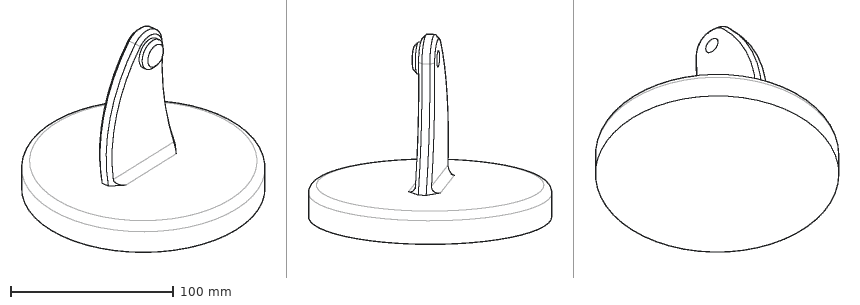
import cadquery as cq
import math

base_diameter = 150
base_height = 20.0
base_rim_radius = 5.0

overall_height = 115.0
fin_thickness = 10.0
fin_chamfer = 2.5
root_fillet = 5.0
tip_radius = 15
tip_end_angle = math.radians(45)
concave_mid = (15.5, base_height + 51.2)
concave_foot_y = 27.8
convex_mid = (-30, base_height + 61.5)
convex_foot_y = -36.3

boss_diameter = 20.0
boss_length = 5.0
boss_chamfer = boss_length / 2
hole_diameter = 9.9
hole_depth = fin_thickness

tip_center_z = overall_height - tip_radius
half_thickness = fin_thickness / 2
root_half_width = half_thickness + root_fillet


def make_base():
    disc = cq.Workplane("XY").circle(base_diameter / 2).extrude(base_height)
    return disc.faces(">Z").edges().fillet(base_rim_radius)


def make_fin_outline():
    """Side outline in YZ, as thick as the root, with bevels that reach across the root."""
    tip_end = (
        -tip_radius * math.sin(tip_end_angle),
        tip_center_z + tip_radius * math.cos(tip_end_angle),
    )
    blank = (
        cq.Workplane("YZ")
        .moveTo(concave_foot_y, base_height)
        .threePointArc(concave_mid, (tip_radius, tip_center_z))
        .threePointArc((0, overall_height), tip_end)
        .threePointArc(convex_mid, (convex_foot_y, base_height))
        .close()
        .extrude(root_half_width, both=True)
    )
    bevel = fin_chamfer + root_fillet
    return blank.faces("|X").edges("not |Y").chamfer(bevel)


def make_fin_section():
    """Cross-section in XZ: flat sides flaring into the base through concave fillets."""
    fillet_top = base_height + root_fillet
    arc_offset = root_fillet * math.sqrt(0.5)
    arc_mid_x = root_half_width - arc_offset
    arc_mid_z = fillet_top - arc_offset
    return (
        cq.Workplane("XZ")
        .moveTo(-root_half_width, base_height)
        .threePointArc((-arc_mid_x, arc_mid_z), (-half_thickness, fillet_top))
        .lineTo(-half_thickness, overall_height)
        .lineTo(half_thickness, overall_height)
        .lineTo(half_thickness, fillet_top)
        .threePointArc((arc_mid_x, arc_mid_z), (root_half_width, base_height))
        .close()
        .extrude(base_diameter / 2, both=True)
    )


def make_boss():
    boss = (
        cq.Workplane("YZ", origin=(half_thickness, 0, tip_center_z))
        .circle(boss_diameter / 2)
        .extrude(boss_length)
    )
    return boss.faces(">X").edges().chamfer(boss_chamfer)


def make_hole():
    return (
        cq.Workplane("YZ", origin=(-half_thickness, 0, tip_center_z))
        .circle(hole_diameter / 2)
        .extrude(hole_depth)
    )


fin = make_fin_outline().intersect(make_fin_section())
result = make_base().union(fin).union(make_boss()).cut(make_hole())